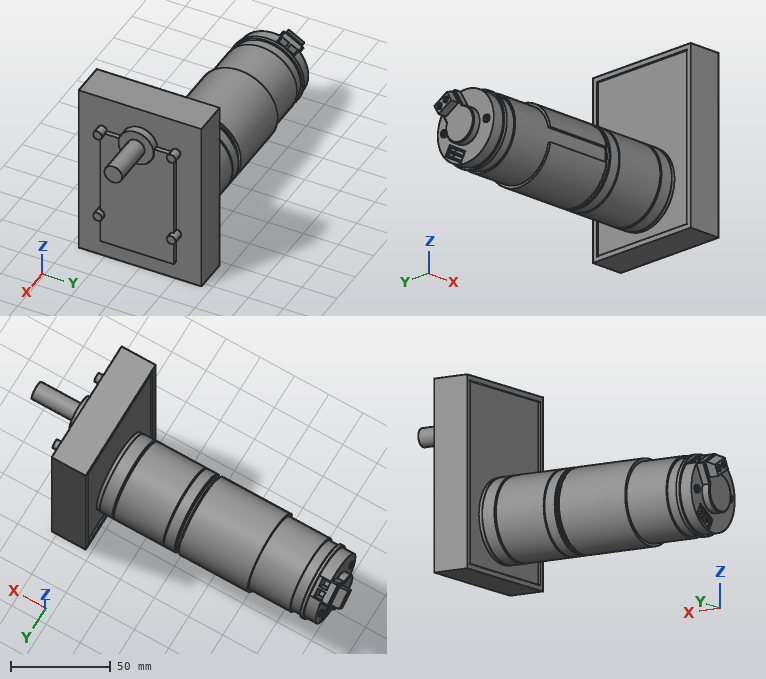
import cadquery as cq


terminal_front = 0.0
pad_front = 5.2
cap_front = 9.6
flange_front = 16.2
flange_back = 18.0
can_front = 24.0
sleeve_front = 48.0
sleeve_back = 88.0
motor_back = 88.7
gearbox_front = 90.0
housing_front = 135.2
housing_back = 155.2
plate_front = 155.9
plate_back = 158.5
hub_back = 159.6
pin_back = 161.5
shaft_end = 184.5

cap_diameter = 40.0
neck_diameter = cap_diameter
can_diameter = 42.0
sleeve_diameter = 45.0
sleeve_slot_width = 8.3

pad_diameter = 20.0
pad_arm_width = 13.3
pad_chamfer = 0.5
terminal_angle = 30
flat_radius = 19.2
terminal_width = 10.3
terminal_inner_radius = 10.5
terminal_outer_radius = 18.8
terminal_slope_radius = 16.6
terminal_slope_depth = 4.5
terminal_pitch = 5.0
terminal_screw_radius = 13.8
terminal_screw_diameter = 3.3
screw_recess = 0.7
screw_slot_width = 1.1
screw_slot_length = 2.2
screw_slot_depth = 0.7
wire_window_width = 4.5
wire_window_length = 4.5
wire_window_depth = 9.2
wire_window_pitch = 5.7

boss_diameter = 4.0
boss_height = 1.1
boss_offset = 15.1
boss_chamfer = 0.5
boss_bore_diameter = 1.0
boss_bore_depth = 0.7

header_angle = 150
header_radius = 15.0
header_length = 12.7
header_width = 6.3
header_rim = 1.0
header_rim_depth = 1.0
header_depth = 4.5
header_pin_diameter = 1.0
header_pin_pitch = 2.4
header_pin_count = 4

gearbox_diameter = 45.0
gearbox_neck_diameter = 41.0
gearbox_chamfer = 0.5
groove_depth = 0.2
grooves = [(96.7, 0.5), (126.0, 1.0)]
end_step_length = 1.0

housing_width = 70.0
housing_height = 100.0
housing_bottom = -30.0
recess_margin = 2.8
recess_depth = 1.1
shaft_height = 48.7
hub_diameter = 20.0
shaft_diameter = 10.0

pin_diameter = 5.0
pin_spacing = 41.9
upper_pin_height = 50.4
lower_pin_height = -1.3
plate_bottom = -18.6
plate_width = pin_spacing


def disc(diameter, x_start, x_end, y=0.0, z=0.0):
    """Cylinder along X."""
    return cq.Workplane("YZ", origin=(x_start, y, z)).circle(diameter / 2).extrude(x_end - x_start)


def block(x_start, x_end, y_start, y_end, z_start, z_end):
    """Box between the given limits."""
    return cq.Workplane("XY").box(
        x_end - x_start, y_end - y_start, z_end - z_start, centered=False
    ).translate((x_start, y_start, z_start))


def turned(shape, angle):
    """Turn a shape about the motor axis, from +Z towards +Y."""
    return shape.rotate((0, 0, 0), (1, 0, 0), -angle)


def pitch_offsets(count, pitch):
    """Evenly spaced offsets centred on zero."""
    return [(i - (count - 1) / 2) * pitch for i in range(count)]


def make_motor_barrel():
    sleeve = disc(sleeve_diameter, sleeve_front, sleeve_back)
    slot = block(
        sleeve_front, sleeve_back,
        -sleeve_diameter, 0,
        -sleeve_slot_width / 2, sleeve_slot_width / 2,
    )
    return (
        disc(cap_diameter, cap_front, flange_front)
        .union(disc(can_diameter, flange_front, flange_back))
        .union(disc(neck_diameter, flange_back, can_front))
        .union(sleeve.cut(slot))
        .union(disc(can_diameter, can_front, motor_back))
    )


def make_pad():
    """Round pad with a radial arm that carries the terminal block."""
    arm = block(pad_front, cap_front, -pad_arm_width / 2, pad_arm_width / 2, 0, flat_radius)
    arm = arm.intersect(disc(cap_diameter, pad_front, cap_front))
    return disc(pad_diameter, pad_front, cap_front).union(arm).faces("<X").chamfer(pad_chamfer)


def make_terminal_block():
    """Block with a sloping outer edge and two slotted screws."""
    profile = [
        (terminal_front, terminal_inner_radius),
        (terminal_front, terminal_slope_radius),
        (terminal_slope_depth, terminal_outer_radius),
        (pad_front, terminal_outer_radius),
        (pad_front, terminal_inner_radius),
    ]
    body = cq.Workplane("XZ").polyline(profile).close().extrude(terminal_width / 2, both=True)
    slot_turns = (terminal_angle + 90, terminal_angle)
    slot_start = terminal_front + screw_recess
    for y, slot_turn in zip(pitch_offsets(2, terminal_pitch), slot_turns):
        body = body.cut(disc(terminal_screw_diameter, terminal_front, slot_start, y, terminal_screw_radius))
        slot = (
            cq.Workplane("YZ", origin=(slot_start, y, terminal_screw_radius))
            .transformed(rotate=(0, 0, slot_turn))
            .rect(screw_slot_width, screw_slot_length)
            .extrude(screw_slot_depth)
        )
        body = body.cut(slot)
    return body


def make_cap_flat():
    """Material removed to leave a flat, with two wire windows, beside the terminal block."""
    cutter = block(
        cap_front, flange_front,
        -sleeve_diameter / 2, sleeve_diameter / 2,
        flat_radius, sleeve_diameter,
    )
    for y in pitch_offsets(2, wire_window_pitch):
        window = block(
            cap_front, cap_front + wire_window_length,
            y - wire_window_width / 2, y + wire_window_width / 2,
            flat_radius - wire_window_depth, flat_radius,
        )
        cutter = cutter.union(window)
    return cutter


def make_header_pocket():
    """Stepped pocket with a row of contact pins standing in it."""
    def pocket(margin, depth):
        half_length = header_length / 2 - margin
        half_width = header_width / 2 - margin
        return block(
            cap_front, cap_front + depth,
            -half_length, half_length,
            header_radius - half_width, header_radius + half_width,
        )

    cutter = pocket(0, header_rim_depth).union(pocket(header_rim, header_depth))
    for y in pitch_offsets(header_pin_count, header_pin_pitch):
        cutter = cutter.cut(
            disc(header_pin_diameter, cap_front, cap_front + header_depth, y, header_radius)
        )
    return cutter


def make_boss(y):
    """Small chamfered boss with a centre hole on the cap."""
    front = cap_front - boss_height
    bore = disc(boss_bore_diameter, front, front + boss_bore_depth, y)
    return disc(boss_diameter, front, cap_front, y).faces("<X").chamfer(boss_chamfer).cut(bore)


def make_motor():
    motor = make_motor_barrel().cut(turned(make_cap_flat(), terminal_angle))
    motor = motor.cut(turned(make_header_pocket(), header_angle))
    motor = motor.union(turned(make_pad().union(make_terminal_block()), terminal_angle))
    for y in (-boss_offset, boss_offset):
        motor = motor.union(make_boss(y))
    return motor


def make_gearbox():
    gearbox_back = housing_front + recess_depth
    ring_diameter = gearbox_diameter - 2 * groove_depth
    step_start = housing_front - end_step_length
    body = disc(gearbox_diameter, gearbox_front, step_start).faces("<X").chamfer(gearbox_chamfer)
    for start, width in grooves:
        ring = disc(2 * gearbox_diameter, start, start + width).cut(
            disc(ring_diameter, start, start + width)
        )
        body = body.cut(ring)
    return (
        body.union(disc(ring_diameter, step_start, gearbox_back))
        .union(disc(gearbox_neck_diameter, motor_back, gearbox_front))
    )


def make_housing():
    half_width = housing_width / 2
    housing_top = housing_bottom + housing_height
    body = block(housing_front, housing_back, -half_width, half_width, housing_bottom, housing_top)
    recess = block(
        housing_front, housing_front + recess_depth,
        -half_width + recess_margin, half_width - recess_margin,
        housing_bottom + recess_margin, housing_top - recess_margin,
    )
    return (
        body.cut(recess)
        .union(disc(hub_diameter, housing_back, hub_back, 0, shaft_height))
        .union(disc(shaft_diameter, hub_back, shaft_end, 0, shaft_height))
        .union(disc(shaft_diameter, housing_back, plate_front))
    )


def make_plate():
    half_width = plate_width / 2
    plate = block(plate_front, plate_back, -half_width, half_width, plate_bottom, upper_pin_height)
    plate = plate.cut(disc(hub_diameter, plate_front, plate_back, 0, shaft_height))
    for y in pitch_offsets(2, pin_spacing):
        plate = plate.union(disc(pin_diameter, plate_front, pin_back, y, upper_pin_height))
        plate = plate.union(disc(pin_diameter, housing_back, pin_back, y, lower_pin_height))
    return plate


motor = make_motor()
gearbox = make_gearbox()
housing = make_housing()
plate = make_plate()

result = cq.Compound.makeCompound([motor.val(), gearbox.val(), housing.val(), plate.val()])